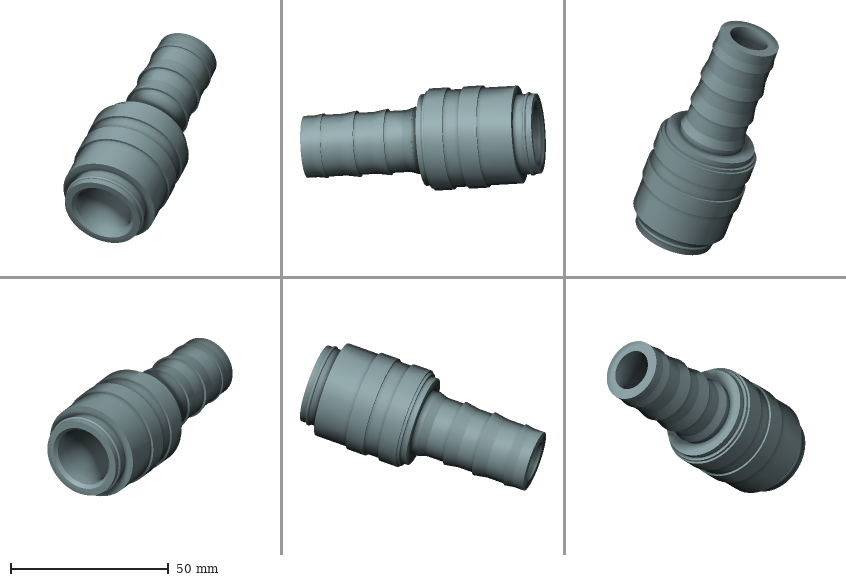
import cadquery as cq

length = 75.0
outer_diameter = 32.5

nose_radius = 12.75
body_radius = 15.5
band_radius = outer_diameter / 2
collar_radius = 14.55
neck_radius = 10.5
tube_radius = 9.8

nose_end = 5.9
body_end = 34.9
collar_end = 36.9
neck_end = 39.0

band_width = 5.9
band_starts = (17.0, 28.05)

ring_position = 2.4
ring_section_radius = 0.5
ring_outer_radius = 13.3

barbs = (
    (neck_end, 2.9, 10.7),
    (48.0, 4.5, 10.6),
    (57.9, 4.5, 10.6),
    (68.55, 2.9, 10.3),
)

bore_radius = 6.45
socket_radius = 9.45
socket_depth = body_end
mouth_radius = 10.5
mouth_bevel_depth = 1.05


def cylinder(radius, start, end):
    """Solid cylinder on the Y axis between two positions."""
    return cq.Workplane("XZ", origin=(0, start, 0)).circle(radius).extrude(start - end)


def cone(start_radius, end_radius, start, end):
    """Solid truncated cone on the Y axis between two positions."""
    profile = [(0, start), (start_radius, start), (end_radius, end), (0, end)]
    return cq.Workplane("XY").polyline(profile).close().revolve(360, (0, 0), (0, 1))


def retaining_ring():
    """Ring of round section, partly sunk into the nose."""
    section_center = ring_outer_radius - ring_section_radius
    section = cq.Workplane("XY").center(section_center, ring_position).circle(ring_section_radius)
    return section.revolve(360, (-section_center, 0), (-section_center, 1))


result = cylinder(tube_radius, 0, length)
result = result.union(cylinder(nose_radius, 0, nose_end))
result = result.union(cylinder(body_radius, nose_end, body_end))
result = result.union(cylinder(collar_radius, body_end, collar_end))
result = result.union(cylinder(neck_radius, collar_end, neck_end))

for band_start in band_starts:
    result = result.union(cylinder(band_radius, band_start, band_start + band_width))

for barb_start, barb_length, tip_radius in barbs:
    result = result.union(cone(tip_radius, tube_radius, barb_start, barb_start + barb_length))

result = result.union(retaining_ring())

result = result.cut(cylinder(bore_radius, 0, length))
result = result.cut(cylinder(socket_radius, 0, socket_depth))
result = result.cut(cone(mouth_radius, socket_radius, 0, mouth_bevel_depth))